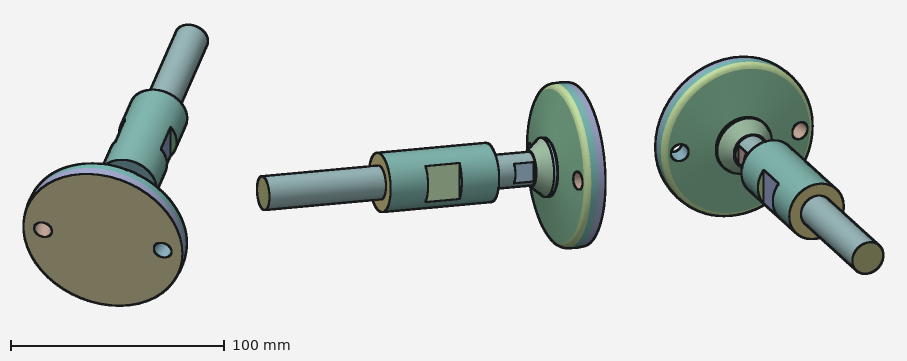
import cadquery as cq
import math


foot_radius = 38.99
foot_base_radius = 38.6
foot_widest_height = 3.9
foot_corner_radius = 38.7
foot_corner_height = 9.6
foot_edge_fillet = 3.0
foot_top_radius = 13.0
foot_top_height = 13.8
foot_slope_angle = math.degrees(
    math.atan2(foot_top_height - foot_corner_height, foot_corner_radius - foot_top_radius)
)

hole_diameter = 8.5
hole_offset = 29.0
hole_drill_length = 60.0

collar_radius = 14.0
collar_rim_bottom = 14.6
collar_rim_top = 16.2
collar_top_radius = 8.5
collar_top_height = 22.9

overall_length = 157.0
spindle_radius = 8.0
spindle_flat_width = 13.0
spindle_flat_start = 23.7
spindle_flat_length = 9.6

sleeve_radius = 14.0
sleeve_start = 43.8
sleeve_length = 54.6
sleeve_flat_width = 22.0
sleeve_flat_length = 17.0


def revolve_about_y(profile):
    """Close a half profile in the XY plane and turn it round the Y axis."""
    return profile.close().revolve(360, (0, 0, 0), (0, 1, 0))


def y_cylinder(radius, start, length):
    """Cylinder on the Y axis that runs from start towards +Y."""
    return cq.Workplane("XZ", origin=(0, start, 0)).circle(radius).extrude(-length)


def cut_wrench_flats(body, radius, width, start, length):
    """Cut two opposite flats, facing -X and +X, into a round body."""
    depth = radius - width / 2
    for side in (-1, 1):
        cutter = cq.Workplane("XY").box(2 * depth, length, 2 * radius)
        body = body.cut(cutter.translate((side * (width / 2 + depth), start + length / 2, 0)))
    return body


def make_foot_plate():
    plate = revolve_about_y(
        cq.Workplane("XY")
        .lineTo(foot_base_radius, 0)
        .lineTo(foot_radius, foot_widest_height)
        .lineTo(foot_corner_radius, foot_corner_height)
        .lineTo(foot_top_radius, foot_top_height)
        .lineTo(0, foot_top_height)
    )
    outer_corner = cq.selectors.NearestToPointSelector((0, foot_corner_height, 0))
    plate = plate.edges("%CIRCLE").edges(outer_corner).fillet(foot_edge_fillet)
    for side in (-1, 1):
        drill = (
            cq.Workplane("XZ")
            .circle(hole_diameter / 2)
            .extrude(hole_drill_length / 2, both=True)
            .rotate((0, 0, 0), (0, 0, 1), -side * foot_slope_angle)
            .translate((side * hole_offset, 0, 0))
        )
        plate = plate.cut(drill)
    return plate


def make_collar():
    return revolve_about_y(
        cq.Workplane("XY")
        .moveTo(0, foot_top_height)
        .lineTo(foot_top_radius, foot_top_height)
        .lineTo(collar_radius, collar_rim_bottom)
        .lineTo(collar_radius, collar_rim_top)
        .lineTo(collar_top_radius, collar_top_height)
        .lineTo(0, collar_top_height)
    )


def make_spindle():
    spindle = y_cylinder(spindle_radius, collar_top_height, overall_length - collar_top_height)
    return cut_wrench_flats(
        spindle, spindle_radius, spindle_flat_width, spindle_flat_start, spindle_flat_length
    )


def make_levelling_foot():
    """Foot plate, collar and spindle as a single solid."""
    return make_foot_plate().union(make_collar()).union(make_spindle())


def make_sleeve():
    """Separate sleeve whose bore fits the spindle."""
    sleeve = y_cylinder(sleeve_radius, sleeve_start, sleeve_length)
    flat_start = sleeve_start + (sleeve_length - sleeve_flat_length) / 2
    sleeve = cut_wrench_flats(
        sleeve, sleeve_radius, sleeve_flat_width, flat_start, sleeve_flat_length
    )
    return sleeve.cut(y_cylinder(spindle_radius, sleeve_start, sleeve_length))


levelling_foot = make_levelling_foot()
sleeve = make_sleeve()
result = cq.Compound.makeCompound([levelling_foot.solids().val(), sleeve.solids().val()])